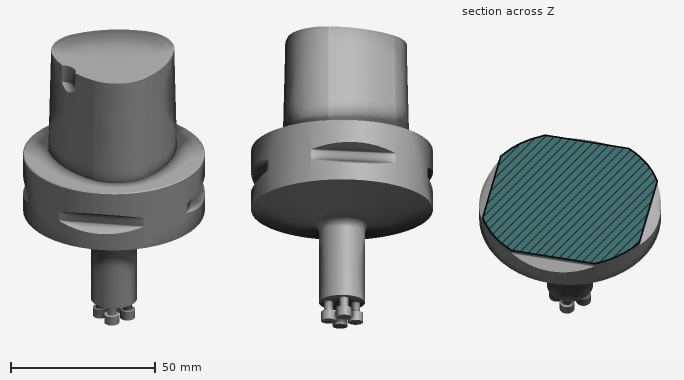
import math

import cadquery as cq

overall_height = 101.1

shank_length = 38.0
shank_taper_angle = math.degrees(math.atan(1 / 40))
lobe_reach = 23.5
side_reach = 20.5
side_centre_offset = 15.9
lobe_count = 3
lobe_pitch = 360 / lobe_count
first_lobe_angle = 90.0

notch_radius = 5.0
notch_axis_y = -22.5
notch_depth = 6.4
notch_point_angle = 90.0

flange_diameter = 63.0
flange_height = 22.0
flange_edge_chamfer = 0.3
underside_angle = 15.0

slot_count = 4
slot_first_angle = 45.0
slot_floor_distance = 27.8
slot_floor_width = 3.4
slot_centre_z = -12.0
slot_wall_angle = 30.0
slot_corner_radius = 0.5

neck_diameter = 16.0
neck_bottom_z = -56.1
neck_fillet = 3.0

pins_per_side = 2
pin_spacing = 6.7
pin_shank_diameter = 3.17
pin_head_diameter = 5.2
pin_head_top_z = -59.8
pin_bottom_z = shank_length - overall_height

flange_radius = flange_diameter / 2
neck_radius = neck_diameter / 2


def polar(radius, angle):
    """Point at a radius and an angle in degrees."""
    return (radius * math.cos(math.radians(angle)), radius * math.sin(math.radians(angle)))


def make_shank():
    """Tapered three-lobe shank made of three lobe arcs and three flatter side arcs."""
    reach_gap = lobe_reach - side_reach
    lobe_centre_offset = (
        reach_gap * (2 * side_centre_offset - reach_gap) / (side_centre_offset - 2 * reach_gap)
    )
    side_radius = side_reach + side_centre_offset
    half_pitch = lobe_pitch / 2

    across = lobe_centre_offset * math.sin(math.radians(half_pitch))
    along = lobe_centre_offset * math.cos(math.radians(half_pitch)) + side_centre_offset
    swing = math.atan2(across, along)
    joint_across = side_radius * math.sin(swing)
    joint_along = side_radius * math.cos(swing) - side_centre_offset
    joint_reach = math.hypot(joint_across, joint_along)
    joint_angle = half_pitch - math.degrees(math.atan2(joint_across, joint_along))

    outline = cq.Workplane("XY").moveTo(*polar(joint_reach, first_lobe_angle - joint_angle))
    for i in range(lobe_count):
        lobe_angle = first_lobe_angle + i * lobe_pitch
        next_lobe_angle = lobe_angle + lobe_pitch
        outline = outline.threePointArc(
            polar(lobe_reach, lobe_angle),
            polar(joint_reach, lobe_angle + joint_angle),
        ).threePointArc(
            polar(side_reach, lobe_angle + half_pitch),
            polar(joint_reach, next_lobe_angle - joint_angle),
        )
    return outline.close().extrude(shank_length, taper=shank_taper_angle)


def make_notch():
    """Drill-shaped cutter, cylinder with a conical point."""
    shoulder_z = shank_length - notch_depth
    point_height = notch_radius / math.tan(math.radians(notch_point_angle / 2))
    return (
        cq.Workplane("XZ")
        .moveTo(0, shank_length)
        .lineTo(notch_radius, shank_length)
        .lineTo(notch_radius, shoulder_z)
        .lineTo(0, shoulder_z - point_height)
        .close()
        .revolve(360, (0, 0, 0), (0, 1, 0))
        .translate((0, notch_axis_y, 0))
    )


def make_body():
    """Turned flange, conical underside and neck."""
    cone_slope = math.tan(math.radians(underside_angle))
    cone_bottom_z = -flange_height - (flange_radius - neck_radius) * cone_slope

    fillet_centre_r = neck_radius + neck_fillet
    tangent_length = neck_fillet * math.tan(math.radians((90 - underside_angle) / 2))
    fillet_end_z = cone_bottom_z - tangent_length
    fillet_start = (
        neck_radius + tangent_length * math.cos(math.radians(underside_angle)),
        cone_bottom_z + tangent_length * math.sin(math.radians(underside_angle)),
    )
    middle_r, middle_z = polar(neck_fillet, (90 + underside_angle + 180) / 2)
    return (
        cq.Workplane("XZ")
        .lineTo(flange_radius - flange_edge_chamfer, 0)
        .lineTo(flange_radius, -flange_edge_chamfer)
        .lineTo(flange_radius, -flange_height)
        .lineTo(*fillet_start)
        .threePointArc(
            (fillet_centre_r + middle_r, fillet_end_z + middle_z),
            (neck_radius, fillet_end_z),
        )
        .lineTo(neck_radius, neck_bottom_z)
        .lineTo(0, neck_bottom_z)
        .close()
        .revolve(360, (0, 0, 0), (0, 1, 0))
    )


def make_slot():
    """Straight slot cutter facing +X, with flared walls and rounded floor corners."""
    slot_reach = flange_radius - slot_floor_distance
    half_floor = slot_floor_width / 2
    half_mouth = half_floor + slot_reach * math.tan(math.radians(slot_wall_angle))
    return (
        cq.Workplane("XZ")
        .moveTo(slot_floor_distance, slot_centre_z - half_floor)
        .lineTo(flange_radius, slot_centre_z - half_mouth)
        .lineTo(flange_radius, slot_centre_z + half_mouth)
        .lineTo(slot_floor_distance, slot_centre_z + half_floor)
        .close()
        .extrude(flange_radius, both=True)
        .edges("|Y and <X")
        .fillet(slot_corner_radius)
    )


def make_pins():
    """Four headed pins on a square pattern, starting at the neck end face."""
    shanks = (
        cq.Workplane("XY", origin=(0, 0, pin_head_top_z))
        .rarray(pin_spacing, pin_spacing, pins_per_side, pins_per_side)
        .circle(pin_shank_diameter / 2)
        .extrude(neck_bottom_z - pin_head_top_z)
    )
    heads = (
        cq.Workplane("XY", origin=(0, 0, pin_bottom_z))
        .rarray(pin_spacing, pin_spacing, pins_per_side, pins_per_side)
        .circle(pin_head_diameter / 2)
        .extrude(pin_head_top_z - pin_bottom_z)
    )
    return shanks.union(heads)


result = make_body().union(make_shank().cut(make_notch())).union(make_pins())
slot = make_slot()
for i in range(slot_count):
    slot_angle = slot_first_angle + i * 360 / slot_count
    result = result.cut(slot.rotate((0, 0, 0), (0, 0, 1), slot_angle))